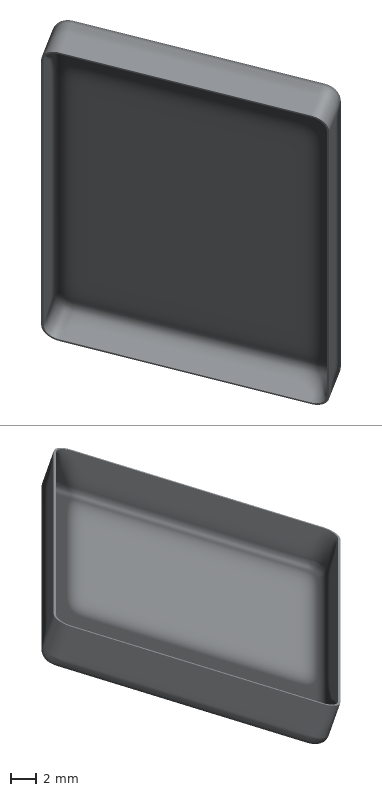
import cadquery as cq

width = 23.9
depth = 3.8
height = 37.4

wall = 0.2
corner_radius = 1.5
back_edge_radius = 0.9


def rounded_block(block_width, block_depth, block_height, outline_radius, back_radius):
    """Block centred on the origin, with rounded corners and a rounded +Y rim."""
    block = cq.Workplane("XY").box(block_width, block_depth, block_height)
    return block.edges("|Y").fillet(outline_radius).faces(">Y").edges().fillet(back_radius)


outer = rounded_block(width, depth, height, corner_radius, back_edge_radius)

cavity = rounded_block(
    width - 2 * wall,
    depth,
    height - 2 * wall,
    corner_radius - wall,
    back_edge_radius - wall,
).translate((0, -wall, 0))

result = outer.cut(cavity)